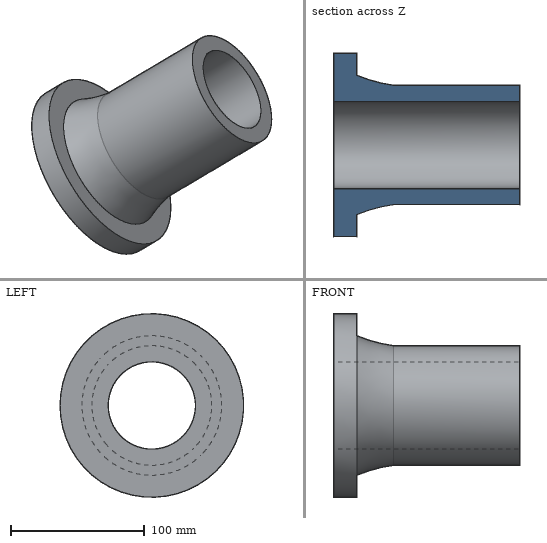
import cadquery as cq

length = 140.0
flange_diameter = 138.0
flange_thickness = 17.5
neck_root_diameter = 105.0
neck_end = 45.0
pipe_diameter = 90.0
bore_diameter = 65.4
neck_sag = 1.0

flange_radius = flange_diameter / 2
neck_root_radius = neck_root_diameter / 2
pipe_radius = pipe_diameter / 2
bore_radius = bore_diameter / 2

neck_middle = (
    (flange_thickness + neck_end) / 2,
    (neck_root_radius + pipe_radius) / 2 - neck_sag,
)

half_section = (
    cq.Workplane("XY")
    .moveTo(0, bore_radius)
    .lineTo(0, flange_radius)
    .lineTo(flange_thickness, flange_radius)
    .lineTo(flange_thickness, neck_root_radius)
    .threePointArc(neck_middle, (neck_end, pipe_radius))
    .lineTo(length, pipe_radius)
    .lineTo(length, bore_radius)
    .close()
)

result = half_section.revolve(360, (0, 0, 0), (1, 0, 0))